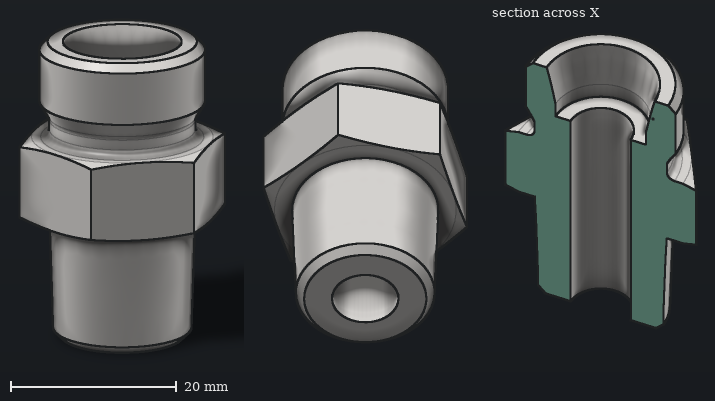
import cadquery as cq
import math

total_height = 37.0
hex_bottom = 15.2
hex_height = 9.8
hex_top = hex_bottom + hex_height

across_flats = 22.0
hex_chamfer_diameter = 21.9
hex_chamfer_angle = 15.0
corner_clearance = 0.37

stud_diameter = 20.0
stud_bottom = 29.53
neck_diameter = 17.7
neck_cone_angle = 30.0
neck_fillet = 1.0
end_chamfer = 1.0

gauge_diameter = 17.05
gauge_height = 6.1
radial_taper = 1 / 32

bore_diameter = 8.0
socket_diameter = 12.0
socket_depth = 7.5
seat_mouth_diameter = 14.32
seat_half_angle = 12.0


def tan_deg(angle):
    return math.tan(math.radians(angle))


def revolve_about_z(profile):
    """Revolve a profile drawn as (radius, height) on the XZ plane."""
    return profile.close().revolve(360, (0, 0, 0), (0, 1, 0))


def taper_thread():
    def radius_at(height):
        return gauge_diameter / 2 + (height - gauge_height) * radial_taper

    chamfer_radius = radius_at(end_chamfer)
    return revolve_about_z(
        cq.Workplane("XZ")
        .lineTo(chamfer_radius - end_chamfer, 0)
        .lineTo(chamfer_radius, end_chamfer)
        .lineTo(radius_at(hex_bottom), hex_bottom)
        .lineTo(0, hex_bottom)
    )


def hexagon():
    corner_diameter = across_flats / math.cos(math.radians(30))
    prism = (
        cq.Workplane("XY", origin=(0, 0, hex_bottom))
        .polygon(6, corner_diameter)
        .extrude(hex_height)
        .rotate((0, 0, 0), (0, 0, 1), 30)
    )
    rim_radius = hex_chamfer_diameter / 2
    outer_radius = corner_diameter / 2 + corner_clearance
    drop = (outer_radius - rim_radius) * tan_deg(hex_chamfer_angle)
    envelope = revolve_about_z(
        cq.Workplane("XZ")
        .moveTo(0, hex_bottom)
        .lineTo(rim_radius, hex_bottom)
        .lineTo(outer_radius, hex_bottom + drop)
        .lineTo(outer_radius, hex_top - drop)
        .lineTo(rim_radius, hex_top)
        .lineTo(0, hex_top)
    )
    return prism.intersect(envelope)


def stud():
    stud_radius = stud_diameter / 2
    neck_radius = neck_diameter / 2
    cone_end = stud_bottom - (stud_radius - neck_radius) / tan_deg(neck_cone_angle)

    tangent_length = neck_fillet * tan_deg(neck_cone_angle / 2)
    angle = math.radians(neck_cone_angle)
    cone_tangent = (
        neck_radius + tangent_length * math.sin(angle),
        cone_end + tangent_length * math.cos(angle),
    )
    return revolve_about_z(
        cq.Workplane("XZ")
        .moveTo(0, hex_top)
        .lineTo(neck_radius + neck_fillet, hex_top)
        .radiusArc((neck_radius, hex_top + neck_fillet), neck_fillet)
        .lineTo(neck_radius, cone_end - tangent_length)
        .radiusArc(cone_tangent, neck_fillet)
        .lineTo(stud_radius, stud_bottom)
        .lineTo(stud_radius, total_height - end_chamfer)
        .lineTo(stud_radius - end_chamfer, total_height)
        .lineTo(0, total_height)
    )


def bore():
    bore_radius = bore_diameter / 2
    socket_radius = socket_diameter / 2
    mouth_radius = seat_mouth_diameter / 2
    seat_depth = (mouth_radius - socket_radius) / tan_deg(seat_half_angle)
    socket_floor = total_height - socket_depth
    return revolve_about_z(
        cq.Workplane("XZ")
        .lineTo(bore_radius, 0)
        .lineTo(bore_radius, socket_floor)
        .lineTo(socket_radius, socket_floor)
        .lineTo(socket_radius, total_height - seat_depth)
        .lineTo(mouth_radius, total_height)
        .lineTo(0, total_height)
    )


result = taper_thread().union(hexagon()).union(stud()).cut(bore())